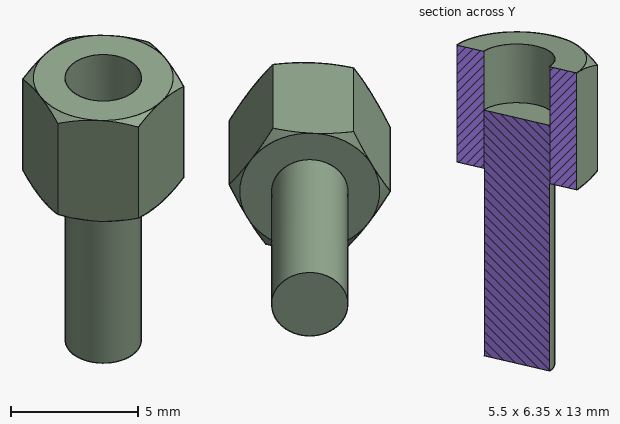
import cadquery as cq
import math

total_height = 13.0
nut_height = 5.0
across_flats = 5.5
stud_diameter = 3.0
chamfer_angle = 30.0
hole_depth = nut_height / 2

across_corners = across_flats / math.cos(math.radians(30))
nut_bottom = total_height - nut_height
stud_top = total_height - hole_depth


def make_chamfer_envelope():
    """Revolved blank whose conical ends trim the corners of the hexagon."""
    face_radius = across_flats / 2
    corner_radius = across_corners / 2
    chamfer_height = (corner_radius - face_radius) * math.tan(math.radians(chamfer_angle))
    return (
        cq.Workplane("XZ")
        .moveTo(0, nut_bottom)
        .lineTo(face_radius, nut_bottom)
        .lineTo(corner_radius, nut_bottom + chamfer_height)
        .lineTo(corner_radius, total_height - chamfer_height)
        .lineTo(face_radius, total_height)
        .lineTo(0, total_height)
        .close()
        .revolve(360, (0, 0, 0), (0, 1, 0))
    )


def make_nut():
    """Hexagonal nut with corners on the Y axis, chamfered ends and a through hole."""
    hexagon = (
        cq.Workplane("XY")
        .workplane(offset=nut_bottom)
        .transformed(rotate=(0, 0, 90))
        .polygon(6, across_corners)
        .extrude(nut_height)
    )
    hole = (
        cq.Workplane("XY")
        .workplane(offset=nut_bottom)
        .circle(stud_diameter / 2)
        .extrude(nut_height)
    )
    return hexagon.intersect(make_chamfer_envelope()).cut(hole)


def make_stud():
    """Plain round stud that fills the lower part of the nut's hole."""
    return cq.Workplane("XY").circle(stud_diameter / 2).extrude(stud_top)


nut = make_nut()
stud = make_stud()

result = cq.Compound.makeCompound([nut.val(), stud.val()])